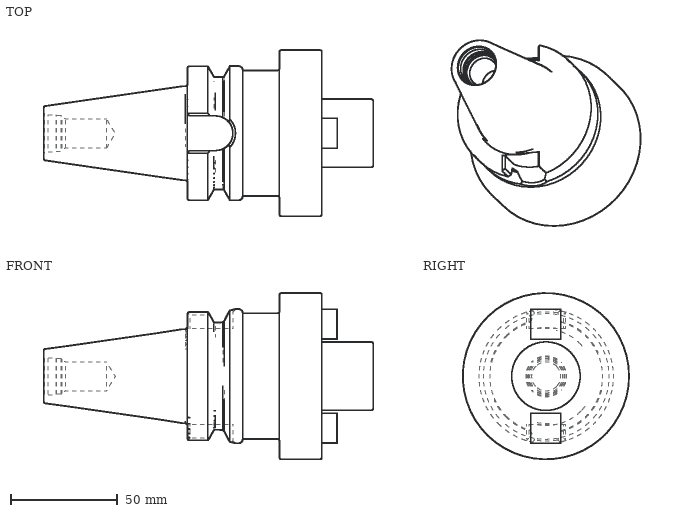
import cadquery as cq
import math

TOTAL_LENGTH = 154.4

TAPER_END_X = 64.0
TAPER_SMALL_RADIUS = 12.8
TAPER_LARGE_RADIUS = 22.0
TAPER_TIP_FILLET = 1.0
GAUGE_X = 65.0
GAUGE_RADIUS = 22.1
SHANK_ROOT_FILLET = 1.0

FLANGE_FACE_X = 67.3
FLANGE_RADIUS = 31.5
FLANGE_FRONT_FILLET = 1.1
FRONT_LAND_END_X = 76.9
REAR_LAND_START_X = 87.2
GROOVE_FLOOR_RADIUS = 26.4
GROOVE_FLANK_ANGLE = 30.0
GROOVE_ROOT_FILLET = 0.8
FLANGE_END_X = 93.3
NECK_RADIUS = 29.5
FLANGE_REAR_FILLET = FLANGE_RADIUS - NECK_RADIUS

DISC_START_X = 110.4
DISC_END_X = 130.3
DISC_RADIUS = 38.99
DISC_EDGE_FILLET = 1.0
NECK_ROOT_FILLET = 1.0
PILOT_RADIUS = 16.0
PILOT_EDGE_FILLET = 1.1

KEY_WIDTH = 14.0
KEY_LENGTH = 7.1
KEY_INNER_Z = 17.3
KEY_OUTER_Z = 31.3

SLOT_HALF_WIDTH = 8.1
SLOT_FLOOR_Z = 22.5
SLOT_END_X = 88.6
SLOT_FACE_CHAMFER = 1.0
SLOT_RIM_CHAMFER = 1.2
EDGE_MATCH = 0.02

MOUTH_RADIUS = 9.5
LEAD_IN_RADIUS = 9.3
LEAD_IN_DEPTH = 0.3
COUNTERBORE_RADIUS = 8.6
COUNTERBORE_START = 1.9
COUNTERBORE_END = 5.5
THREAD_RADIUS = 8.3
THREAD_START = 5.9
THREAD_END = 8.0
RUNOUT_RADIUS = 7.7
RUNOUT_START = 8.5
DRILL_RADIUS = 6.8
DRILL_START = 10.0
DRILL_DEPTH = 29.3
DRILL_POINT_ANGLE = 118.0


def revolve_about_x(profile):
    """Close a half profile and turn it around the tool axis."""
    return profile.close().revolve(360, (0, 0, 0), (1, 0, 0))


def make_body():
    """Solid of revolution: taper shank, grooved flange, neck, shoulder disc and pilot."""
    flank_angle = math.radians(GROOVE_FLANK_ANGLE)
    flank_run = (FLANGE_RADIUS - GROOVE_FLOOR_RADIUS) * math.tan(flank_angle)
    front_corner_x = FRONT_LAND_END_X + flank_run
    rear_corner_x = REAR_LAND_START_X - flank_run
    floor_reach = GROOVE_ROOT_FILLET * math.tan((math.pi / 2 - flank_angle) / 2)
    flank_reach_x = floor_reach * math.sin(flank_angle)
    fillet_top_radius = GROOVE_FLOOR_RADIUS + floor_reach * math.cos(flank_angle)
    profile = (
        cq.Workplane("XY")
        .moveTo(0, 0)
        .lineTo(0, TAPER_SMALL_RADIUS - TAPER_TIP_FILLET)
        .radiusArc((TAPER_TIP_FILLET, TAPER_SMALL_RADIUS), TAPER_TIP_FILLET)
        .lineTo(TAPER_END_X, TAPER_LARGE_RADIUS)
        .lineTo(GAUGE_X, GAUGE_RADIUS)
        .lineTo(FLANGE_FACE_X - SHANK_ROOT_FILLET, GAUGE_RADIUS)
        .radiusArc((FLANGE_FACE_X, GAUGE_RADIUS + SHANK_ROOT_FILLET), -SHANK_ROOT_FILLET)
        .lineTo(FLANGE_FACE_X, FLANGE_RADIUS - FLANGE_FRONT_FILLET)
        .radiusArc((FLANGE_FACE_X + FLANGE_FRONT_FILLET, FLANGE_RADIUS), FLANGE_FRONT_FILLET)
        .lineTo(FRONT_LAND_END_X, FLANGE_RADIUS)
        .lineTo(front_corner_x - flank_reach_x, fillet_top_radius)
        .radiusArc((front_corner_x + floor_reach, GROOVE_FLOOR_RADIUS), -GROOVE_ROOT_FILLET)
        .lineTo(rear_corner_x - floor_reach, GROOVE_FLOOR_RADIUS)
        .radiusArc((rear_corner_x + flank_reach_x, fillet_top_radius), -GROOVE_ROOT_FILLET)
        .lineTo(REAR_LAND_START_X, FLANGE_RADIUS)
        .lineTo(FLANGE_END_X - FLANGE_REAR_FILLET, FLANGE_RADIUS)
        .radiusArc((FLANGE_END_X, NECK_RADIUS), FLANGE_REAR_FILLET)
        .lineTo(DISC_START_X - NECK_ROOT_FILLET, NECK_RADIUS)
        .radiusArc((DISC_START_X, NECK_RADIUS + NECK_ROOT_FILLET), -NECK_ROOT_FILLET)
        .lineTo(DISC_START_X, DISC_RADIUS - DISC_EDGE_FILLET)
        .radiusArc((DISC_START_X + DISC_EDGE_FILLET, DISC_RADIUS), DISC_EDGE_FILLET)
        .lineTo(DISC_END_X - DISC_EDGE_FILLET, DISC_RADIUS)
        .radiusArc((DISC_END_X, DISC_RADIUS - DISC_EDGE_FILLET), DISC_EDGE_FILLET)
        .lineTo(DISC_END_X, PILOT_RADIUS)
        .lineTo(TOTAL_LENGTH - PILOT_EDGE_FILLET, PILOT_RADIUS)
        .radiusArc((TOTAL_LENGTH, PILOT_RADIUS - PILOT_EDGE_FILLET), PILOT_EDGE_FILLET)
        .lineTo(TOTAL_LENGTH, 0)
    )
    return revolve_about_x(profile)


def make_bore():
    """Stepped, drill-pointed bore in the small end of the taper."""
    point_length = DRILL_RADIUS / math.tan(math.radians(DRILL_POINT_ANGLE / 2))
    return revolve_about_x(cq.Workplane("XY").polyline([
        (0, 0),
        (0, MOUTH_RADIUS),
        (LEAD_IN_DEPTH, LEAD_IN_RADIUS),
        (COUNTERBORE_START, COUNTERBORE_RADIUS),
        (COUNTERBORE_END, COUNTERBORE_RADIUS),
        (THREAD_START, THREAD_RADIUS),
        (THREAD_END, THREAD_RADIUS),
        (RUNOUT_START, RUNOUT_RADIUS),
        (DRILL_START, DRILL_RADIUS),
        (DRILL_DEPTH, DRILL_RADIUS),
        (DRILL_DEPTH + point_length, 0),
    ]))


def make_slot():
    """Round-ended slot on the +Z side flared at the flange face and chamfered along the front land."""
    end_center_x = SLOT_END_X - SLOT_HALF_WIDTH
    height = DISC_RADIUS - SLOT_FLOOR_Z
    face_half = SLOT_HALF_WIDTH + SLOT_FACE_CHAMFER
    channel = (
        cq.Workplane("XY", origin=(0, 0, SLOT_FLOOR_Z))
        .moveTo(FLANGE_FACE_X, -face_half)
        .lineTo(FLANGE_FACE_X + SLOT_FACE_CHAMFER, -SLOT_HALF_WIDTH)
        .lineTo(end_center_x, -SLOT_HALF_WIDTH)
        .threePointArc((SLOT_END_X, 0), (end_center_x, SLOT_HALF_WIDTH))
        .lineTo(FLANGE_FACE_X + SLOT_FACE_CHAMFER, SLOT_HALF_WIDTH)
        .lineTo(FLANGE_FACE_X, face_half)
        .close()
        .extrude(height)
    )

    rim_half = SLOT_HALF_WIDTH + SLOT_RIM_CHAMFER
    rim_z = math.sqrt(FLANGE_RADIUS ** 2 - rim_half ** 2)
    chamfer_root_z = rim_z - SLOT_RIM_CHAMFER
    land_chamfer = (
        cq.Workplane("YZ", origin=(FLANGE_FACE_X, 0, 0))
        .polyline([
            (-SLOT_HALF_WIDTH, chamfer_root_z),
            (-rim_half, rim_z),
            (-rim_half, FLANGE_RADIUS),
            (rim_half, FLANGE_RADIUS),
            (rim_half, rim_z),
            (SLOT_HALF_WIDTH, chamfer_root_z),
        ])
        .close()
        .extrude(FRONT_LAND_END_X + SLOT_RIM_CHAMFER - FLANGE_FACE_X)
    )
    return channel.union(land_chamfer)


def chamfer_slot_ends(body):
    """Chamfer the two arcs where the round slot ends meet the rear land of the flange."""
    rim_selector = cq.selectors.BoxSelector(
        (REAR_LAND_START_X, -SLOT_HALF_WIDTH, -FLANGE_RADIUS),
        (SLOT_END_X, SLOT_HALF_WIDTH, FLANGE_RADIUS),
    )
    on_rim = [
        edge for edge in body.edges(rim_selector).vals()
        if abs(edge.startPoint().x - REAR_LAND_START_X) < EDGE_MATCH
        and abs(edge.endPoint().x - REAR_LAND_START_X) < EDGE_MATCH
    ]
    return body.newObject(on_rim).chamfer(SLOT_RIM_CHAMFER)


def make_key():
    """Rectangular drive key standing on the pilot side of the disc, on +Z."""
    return cq.Workplane("XY").box(
        KEY_LENGTH, KEY_WIDTH, KEY_OUTER_Z - KEY_INNER_Z, centered=(False, True, False)
    ).translate((DISC_END_X, 0, KEY_INNER_Z))


result = make_body().cut(make_bore())
for angle in (0, 180):
    result = result.cut(make_slot().rotate((0, 0, 0), (1, 0, 0), angle))
result = chamfer_slot_ends(result)
for angle in (0, 180):
    result = result.union(make_key().rotate((0, 0, 0), (1, 0, 0), angle))